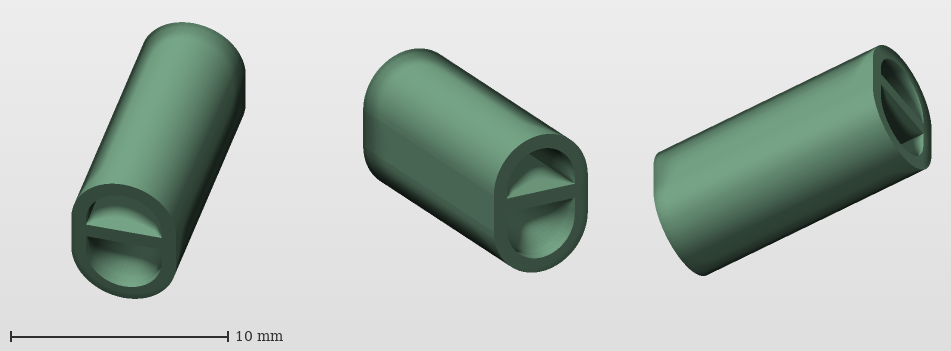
import cadquery as cq

length = 12.0
width = 5.0
height = 6.8
wall = 0.7
web_thickness = 0.7
web_offset = 0.25


def obround_bar(bar_width, bar_height):
    """Solid bar along Y, with an upright obround section centred on the origin."""
    return (
        cq.Workplane("XZ")
        .slot2D(bar_height, bar_width, angle=90)
        .extrude(length / 2, both=True)
    )


bore = obround_bar(width - 2 * wall, height - 2 * wall)
tube = obround_bar(width, height).cut(bore)

web_width = width - wall
web = cq.Workplane("XY").box(web_width, length, web_thickness).translate((0, 0, web_offset))

result = tube.union(web)